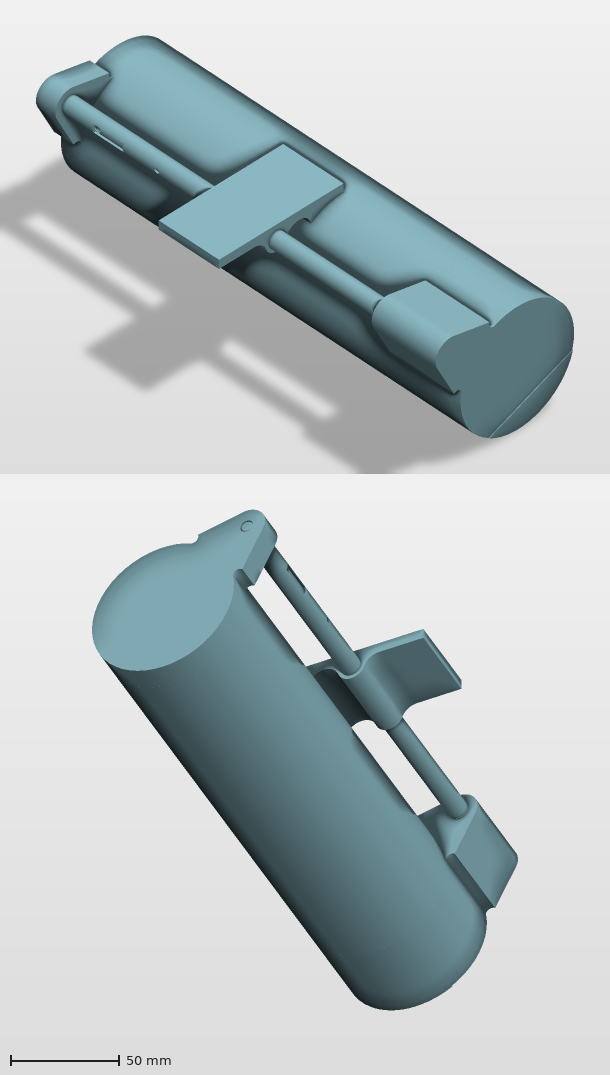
import cadquery as cq
import math

drum_radius = 73 / 2
left_cap_length = 13
tube_length = 210
right_cap_length = 42.5
left_cap_end = left_cap_length
right_cap_start = left_cap_end + tube_length
right_cap_end = right_cap_start + right_cap_length

rod_y = -43
rod_z = 33
lug_tip_radius = 9.5
lug_taper = math.radians(25.5)
lug_root_distance = 37
neck_angle = math.radians(28)
neck_radius = 3
pivot_diameter = 6.5

rod_radius = 5
rod_bore_radius = 4
core_radius = 7.8 / 2
pivot_tip_diameter = 5
collar_length = 2
collar_neck_radius = 9.5 / 2
collar_flange_length = 0.7
window_start = 33
window_length = 20
window_height = 5
core_hole_diameter = 4
core_hole_inner_diameter = 3
core_hole_counterbore_depth = 1
core_hole_x = window_start + core_hole_diameter / 2
wall_hole_x = 75.5
wall_hole_diameter = 3

paddle_width = 40
paddle_start = 110
paddle_length = 80
paddle_thickness = 5.5
hub_radius = 7
hub_fillet = 8

cover_thickness = 0.5
cover_chord_distance = 22
cover_chord_tilt = 22.3


def yz_plane(x):
    """Sketch plane facing +X at the given X, with sketch axes Y and Z."""
    return cq.Workplane("YZ", origin=(x, 0, 0))


def rod_disc(start, length, radius):
    """Cylinder on the rod axis."""
    return yz_plane(start).center(rod_y, rod_z).circle(radius).extrude(length)


def lug_point(along, across):
    """Turn a point measured along and across the lug centre line into (Y, Z)."""
    rod_distance = math.hypot(rod_y, rod_z)
    along_y = rod_y / rod_distance
    along_z = rod_z / rod_distance
    return (along * along_y + across * along_z, along * along_z - across * along_y)


def make_cap(start, length):
    """Drum end with a tapered lug that reaches out to the rod."""
    rod_distance = math.hypot(rod_y, rod_z)
    tangent_along = rod_distance + lug_tip_radius * math.sin(lug_taper)
    tangent_across = lug_tip_radius * math.cos(lug_taper)
    root_across = tangent_across + (tangent_along - lug_root_distance) * math.tan(lug_taper)
    neck_along = drum_radius * math.cos(neck_angle)
    neck_across = drum_radius * math.sin(neck_angle)
    return (
        yz_plane(start)
        .moveTo(*lug_point(neck_along, neck_across))
        .radiusArc(lug_point(lug_root_distance, root_across), neck_radius)
        .lineTo(*lug_point(tangent_along, tangent_across))
        .threePointArc(
            lug_point(rod_distance + lug_tip_radius, 0),
            lug_point(tangent_along, -tangent_across),
        )
        .lineTo(*lug_point(lug_root_distance, -root_across))
        .radiusArc(lug_point(neck_along, -neck_across), neck_radius)
        .threePointArc(lug_point(-drum_radius, 0), lug_point(neck_along, neck_across))
        .close()
        .extrude(length)
    )


left_cap = make_cap(0, left_cap_length).cut(rod_disc(0, left_cap_length, pivot_diameter / 2))
right_cap = make_cap(right_cap_start, right_cap_length)

tube = yz_plane(left_cap_end).circle(drum_radius).extrude(tube_length)


def make_cover():
    disc = yz_plane(right_cap_end).circle(drum_radius).extrude(cover_thickness)
    above_chord = (
        yz_plane(right_cap_end)
        .rect(4 * drum_radius, 2 * drum_radius)
        .extrude(cover_thickness)
        .translate((0, 0, drum_radius - cover_chord_distance))
        .rotate((0, 0, 0), (1, 0, 0), cover_chord_tilt)
    )
    return disc.cut(above_chord)


cover = make_cover()


rod_length = tube_length - collar_length


def front_hole(x, diameter, start_radius, end_radius):
    """Round cutter along Y on the -Y side of the rod axis, between two distances from that axis."""
    return (
        cq.Workplane("XZ", origin=(x, rod_y - start_radius, rod_z))
        .circle(diameter / 2)
        .extrude(end_radius - start_radius)
    )


def make_rod():
    window = (
        cq.Workplane("XY")
        .box(window_length, rod_radius, window_height, centered=(False, False, True))
        .translate((window_start, rod_y - rod_radius, rod_z))
    )
    return (
        rod_disc(left_cap_end, rod_length, rod_radius)
        .cut(rod_disc(left_cap_end, rod_length, rod_bore_radius))
        .cut(window)
        .cut(front_hole(wall_hole_x, wall_hole_diameter, rod_radius, 0))
    )


rod = make_rod()


def make_core():
    """Bar inside the rod, with a pivot in the left cap and a collar against the right cap."""
    pivot_chamfer = (pivot_diameter - pivot_tip_diameter) / 2
    collar_start = left_cap_end + rod_length
    pivot = rod_disc(0, left_cap_length, pivot_diameter / 2).faces("<X").chamfer(pivot_chamfer)
    bar = rod_disc(left_cap_end, rod_length, core_radius)
    neck = rod_disc(collar_start, collar_length, collar_neck_radius)
    flange = rod_disc(right_cap_start - collar_flange_length, collar_flange_length, rod_radius)
    counterbore_end = core_radius - core_hole_counterbore_depth
    return (
        pivot.union(bar)
        .union(neck)
        .union(flange)
        .cut(front_hole(core_hole_x, core_hole_diameter, core_radius, counterbore_end))
        .cut(front_hole(core_hole_x, core_hole_inner_diameter, core_radius, 0))
    )


core = make_core()


def make_paddle():
    """Flat plate with a filleted hub round the rod and an underside that rests on the drum."""
    underside_z = drum_radius
    top_z = underside_z + paddle_thickness

    fillet_z = underside_z - hub_fillet
    fillet_offset = math.sqrt((hub_radius + hub_fillet) ** 2 - (rod_z - fillet_z) ** 2)
    hub_share = hub_radius / (hub_radius + hub_fillet)
    hub_tangent_offset = fillet_offset * hub_share
    hub_tangent_z = rod_z + (fillet_z - rod_z) * hub_share

    inner_y = rod_y + fillet_offset
    inner_distance = math.hypot(inner_y, fillet_z)
    tip_along = (inner_distance**2 + drum_radius**2 - hub_fillet**2) / (2 * inner_distance)
    tip_angle = math.atan2(fillet_z, inner_y) - math.acos(tip_along / drum_radius)
    tip = (drum_radius * math.cos(tip_angle), drum_radius * math.sin(tip_angle))
    middle_angle = (tip_angle + math.pi / 2) / 2
    seat_middle = (drum_radius * math.cos(middle_angle), drum_radius * math.sin(middle_angle))

    body = (
        yz_plane(paddle_start)
        .moveTo(0, top_z)
        .lineTo(0, underside_z)
        .threePointArc(seat_middle, tip)
        .threePointArc((inner_y, underside_z), (rod_y + hub_tangent_offset, hub_tangent_z))
        .threePointArc((rod_y, rod_z - hub_radius), (rod_y - hub_tangent_offset, hub_tangent_z))
        .radiusArc((rod_y - fillet_offset, underside_z), -hub_fillet)
        .lineTo(-paddle_length, underside_z)
        .lineTo(-paddle_length, top_z)
        .close()
        .extrude(paddle_width)
    )
    return body.cut(rod_disc(paddle_start, paddle_width, rod_radius))


paddle = make_paddle()

bodies = [left_cap, tube, right_cap, cover, rod, core, paddle]
result = cq.Compound.makeCompound([body.solids().val() for body in bodies])